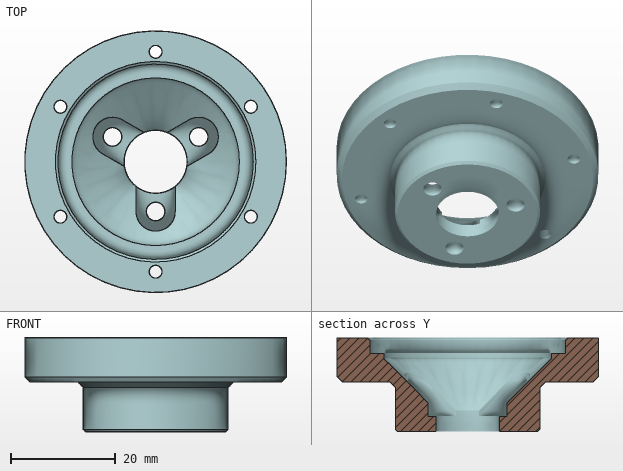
import cadquery as cq

flange_diameter = 50.0
height = 18.0
flange_bottom = 9.5
flange_chamfer = 1.0
hub_diameter = 27.7
hub_chamfer = 0.5

collar_size = 1.0

recess_diameter = 37.3
recess_depth = 3.0
recess_chamfer = 0.5
bowl_diameter = 32.0
bowl_lip = 1.0
bore_diameter = 12.0
bore_top = 4.0

pocket_count = 3
pocket_width = 7.5
pocket_floor = 3.0
pocket_radius = 9.5
screw_hole_diameter = 3.5
first_pocket_angle = 30.0

flange_hole_count = 6
flange_hole_diameter = 2.4
flange_hole_radius = 21.0
first_flange_hole_angle = 30.0

recess_floor = height - recess_depth
bowl_top = recess_floor - bowl_lip


def revolved_body():
    """Half section in the XZ plane, turned about the Z axis."""
    flange_r = flange_diameter / 2
    hub_r = hub_diameter / 2
    recess_r = recess_diameter / 2
    bowl_r = bowl_diameter / 2
    bore_r = bore_diameter / 2
    outside = [
        (bore_r, 0),
        (hub_r - hub_chamfer, 0),
        (hub_r, hub_chamfer),
        (hub_r, flange_bottom - collar_size),
        (hub_r + collar_size, flange_bottom),
        (flange_r - flange_chamfer, flange_bottom),
        (flange_r, flange_bottom + flange_chamfer),
        (flange_r, height),
    ]
    inside = [
        (recess_r + recess_chamfer, height),
        (recess_r, height - recess_chamfer),
        (recess_r, recess_floor),
        (bowl_r, recess_floor),
        (bowl_r, bowl_top),
        (bore_r, bore_top),
    ]
    section = cq.Workplane("XZ").polyline(outside + inside).close()
    return section.revolve(360, (0, 0, 0), (0, 1, 0))


def screw_pocket(angle):
    """Round-ended pocket running out from the axis, with a through hole below it."""
    pocket_height = bowl_top - pocket_floor
    floor = cq.Workplane("XY").workplane(offset=pocket_floor)
    straight = floor.center(pocket_radius / 2, 0).rect(pocket_radius, pocket_width).extrude(pocket_height)
    round_end = floor.center(pocket_radius, 0).circle(pocket_width / 2).extrude(pocket_height)
    hole = cq.Workplane("XY").center(pocket_radius, 0).circle(screw_hole_diameter / 2).extrude(height)
    pocket = straight.union(round_end).union(hole)
    return pocket.rotate((0, 0, 0), (0, 0, 1), angle)


def flange_holes():
    return (
        cq.Workplane("XY")
        .polarArray(flange_hole_radius, first_flange_hole_angle, 360, flange_hole_count)
        .circle(flange_hole_diameter / 2)
        .extrude(height)
    )


result = revolved_body().cut(flange_holes())
for index in range(pocket_count):
    result = result.cut(screw_pocket(first_pocket_angle + index * 360 / pocket_count))